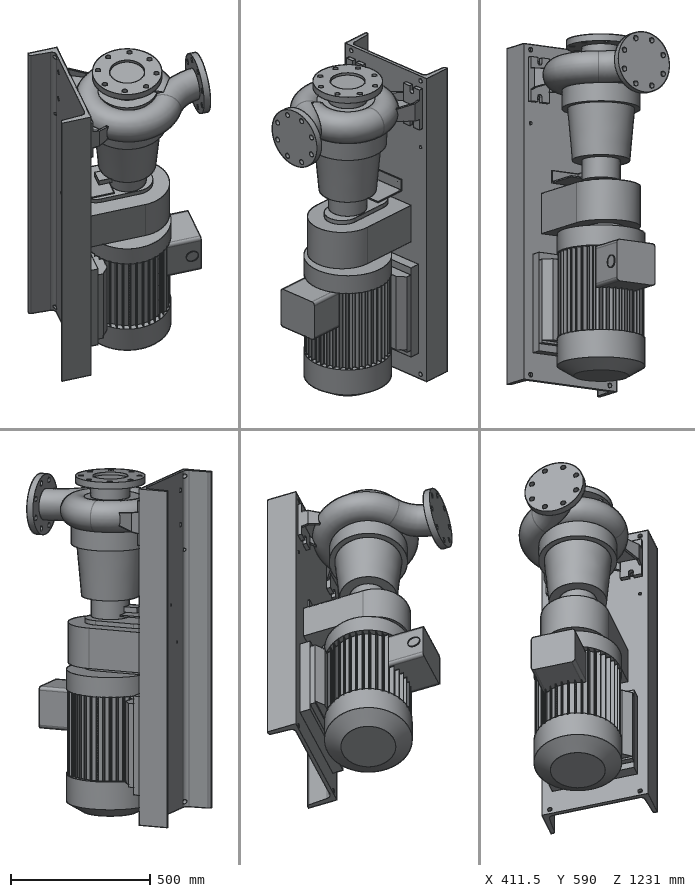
import cadquery as cq
import math

length = 1231.0
axis_height = 201.0

channel_width = 400.0
channel_depth = 110.0
web_thickness = 14.0
flange_tip_thickness = 15.0
flange_root_thickness = 21.0
root_radius = 17.0
tip_radius = 9.0
end_hole_x = 170.0
end_hole_inset = 20.0
end_hole_diameter = 16.0
extra_hole_z = 942.0
extra_hole_diameter = 11.0
small_bolt_diameter = 7.0
guard_bolt_x = 110.0

volute_z = 1102.0
tube_diameter = 115.0
inner_scroll_radius = 122.0
scroll_offset = 16.0
scroll_end_angle = 58.0
casing_disc_radius = 111.0
casing_disc_drop = 7.0
discharge_face = 480.0
discharge_flange_diameter = 220.0
discharge_flange_thickness = 25.0
discharge_bolt_circle = 180.0
suction_face_z = 1227.0
suction_flange_diameter = 250.0
suction_flange_thickness = 25.0
suction_bolt_circle = 210.0
suction_neck_diameter = 140.0
suction_bore_diameter = 125.0
suction_bore_depth = 10.0
flange_hole_diameter = 18.0
flange_hole_count = 8

cover_radius = 140.0
cover_bottom_z = 979.0
cone_top_radius = 121.0
cone_bottom_radius = 103.0
cone_bottom_z = 789.0
hub_radius = 69.0
hub_bottom_z = 714.0
shaft_radius = 16.0

foot_outer_x = 180.0
foot_inner_x = 100.0
foot_pad_thickness = 15.0
foot_pad_height = 162.0
foot_bolt_x = 140.0
foot_bolt_spacing = 125.0
foot_bolt_diameter = 16.0
foot_slot_width = 17.0
foot_shoulder_y = 40.0
foot_top_x = 142.0
foot_top_y = 111.0
foot_inner_top_x = 43.0
foot_inner_top_y = 41.0
foot_rim_thickness = 7.0
foot_rim_bottom_width = 79.0
foot_rim_top_width = 45.0
foot_web_thickness = 15.0

bracket_half_width = 80.0
bracket_sheet = 5.0
bracket_bottom_z = 732.0
bracket_leg_height = 45.0
bracket_reach = 127.0
bracket_bolt_x = 55.0
bracket_bolt_z = 761.0
lug_width = 49.0
lug_height = 20.0
lug_bottom_y = 86.0

guard_bottom_z = 542.0
guard_top_z = 689.0
guard_radius = 124.0
guard_arch_y = 230.0
guard_collar_radius = 64.0
guard_collar_low_y = 82.0
guard_top_collar = 16.0
guard_bottom_collar = 20.0

motor_top_z = 520.0
bell_radius = 158.0
upper_bell_bottom_z = 447.0
lower_bell_top_z = 137.0
cowl_edge_z = 36.0
cowl_end_radius = 98.0
core_radius = 138.0
fin_radius = 154.0
fin_thickness = 2.0
fin_count = 40
motor_foot_bottom_y = 40.0
motor_foot_edge_y = 59.0
motor_foot_top_y = 84.0
motor_foot_half_width = 160.0
motor_foot_top_half_width = 129.0
motor_foot_bottom_z = 128.0
motor_foot_top_z = 435.0
terminal_left_x = -69.0
terminal_right_x = 96.0
terminal_bottom_z = 294.0
terminal_top_y = 449.0
terminal_edge_radius = 12.0
plug_diameter = 45.0
plug_length = 4.0
plug_y = 415.0

block_bottom_z = 101.0
block_top_z = 463.0

CUT_MARGIN = 12.0


def disc(radius, bottom_z, top_z):
    """Cylinder on the shaft axis."""
    return (
        cq.Workplane("XY", origin=(0, axis_height, bottom_z))
        .circle(radius)
        .extrude(top_z - bottom_z)
    )


def block(x0, x1, y0, y1, z0, z1):
    """Box between two opposite corners."""
    return cq.Workplane("XY").box(x1 - x0, y1 - y0, z1 - z0, centered=False).translate((x0, y0, z0))


def plate_holes(points, diameter):
    """Cylinders along Y through the channel web at the given (x, z) points."""
    return (
        cq.Workplane("XZ", origin=(0, CUT_MARGIN, 0))
        .pushPoints(points)
        .circle(diameter / 2)
        .extrude(web_thickness + root_radius + 2 * CUT_MARGIN)
    )


def mirrored_points(x, heights):
    """(x, z) points on both sides of the centre plane."""
    return [(side * x, z) for side in (-1, 1) for z in heights]


foot_bolt_heights = [volute_z - foot_bolt_spacing / 2, volute_z + foot_bolt_spacing / 2]
guard_middle_z = (guard_bottom_z + guard_top_z) / 2


def make_channel():
    half = channel_width / 2
    tip_x = half - flange_tip_thickness
    root_x = half - flange_root_thickness
    profile = [
        (-half, 0),
        (half, 0),
        (half, -channel_depth),
        (tip_x, -channel_depth),
        (root_x, -web_thickness),
        (-root_x, -web_thickness),
        (-tip_x, -channel_depth),
        (-half, -channel_depth),
    ]
    body = cq.Workplane("XY").polyline(profile).close().extrude(length)
    for side in (-1, 1):
        root_edge = cq.selectors.NearestToPointSelector((side * root_x, -web_thickness, length / 2))
        tip_edge = cq.selectors.NearestToPointSelector((side * tip_x, -channel_depth, length / 2))
        body = body.edges(root_edge).fillet(root_radius)
        body = body.edges(tip_edge).fillet(tip_radius)
    end_heights = [end_hole_inset, length - end_hole_inset]
    body = body.cut(plate_holes(mirrored_points(end_hole_x, end_heights), end_hole_diameter))
    body = body.cut(plate_holes(mirrored_points(end_hole_x, [extra_hole_z]), extra_hole_diameter))
    body = body.cut(plate_holes(mirrored_points(foot_bolt_x, foot_bolt_heights), foot_bolt_diameter))
    body = body.cut(plate_holes(mirrored_points(bracket_bolt_x, [bracket_bolt_z]), small_bolt_diameter))
    return body.cut(plate_holes(mirrored_points(guard_bolt_x, [guard_middle_z]), small_bolt_diameter))


tube_radius = tube_diameter / 2
outer_scroll_radius = inner_scroll_radius + scroll_offset


def scroll_arc(center_x, radius, start_angle, end_angle):
    """Round tube bent about an axis parallel to the shaft."""
    return (
        cq.Workplane("XZ")
        .center(radius, 0)
        .circle(tube_radius)
        .revolve(end_angle - start_angle, (-radius, 0), (-radius, 1))
        .rotate((0, 0, 0), (0, 0, 1), start_angle)
        .translate((center_x, axis_height, volute_z))
    )


def discharge_bend():
    """Tube from the end of the scroll, bending back to point along +Y above the shaft axis."""
    angle = math.radians(scroll_end_angle)
    start_x = scroll_offset + outer_scroll_radius * math.cos(angle)
    bend_radius = start_x / (1 - math.cos(angle))
    bend_y = axis_height + (outer_scroll_radius + bend_radius) * math.sin(angle)
    return (
        cq.Workplane("XZ", origin=(0, bend_y, volute_z))
        .circle(tube_radius)
        .revolve(scroll_end_angle, (bend_radius, 0), (bend_radius, 1))
    )


def bolted_flange(plane, diameter, thickness, bolt_circle):
    """Flange disc with a ring of bolt holes that straddles the main axes."""
    holes = (
        plane.polarArray(bolt_circle / 2, 180 / flange_hole_count, 360, flange_hole_count)
        .circle(flange_hole_diameter / 2)
        .extrude(thickness)
    )
    return plane.circle(diameter / 2).extrude(thickness).cut(holes)


def make_volute():
    large_arc = scroll_arc(scroll_offset, outer_scroll_radius, -180, scroll_end_angle)
    small_arc = scroll_arc(0, inner_scroll_radius, scroll_end_angle, 180)
    casing = disc(casing_disc_radius, volute_z, volute_z + tube_radius - casing_disc_drop)
    return casing.union(large_arc).union(small_arc).union(discharge_bend())


def make_bearing_frame():
    cone = (
        cq.Workplane("XY", origin=(0, axis_height, cone_bottom_z))
        .circle(cone_bottom_radius)
        .workplane(offset=cover_bottom_z - cone_bottom_z)
        .circle(cone_top_radius)
        .loft()
    )
    lug_z = bracket_bottom_z + bracket_sheet
    lug = block(-lug_width / 2, lug_width / 2, lug_bottom_y, axis_height, lug_z, lug_z + lug_height)
    return (
        disc(cover_radius, cover_bottom_z, volute_z)
        .union(cone)
        .union(disc(hub_radius, hub_bottom_z, cone_bottom_z))
        .union(disc(shaft_radius, guard_top_z + guard_top_collar, hub_bottom_z))
        .union(lug)
    )


def make_pump_foot():
    """Foot on the -X side: slotted pad, thin web and rims along the web's two sloping edges."""
    outer_line = [(-foot_outer_x, 0), (-foot_outer_x, foot_shoulder_y), (-foot_top_x, foot_top_y)]
    inner_line = [(-foot_inner_top_x, foot_inner_top_y), (-foot_inner_x, 0)]
    outline = outer_line + inner_line
    leg = cq.Workplane("XY").polyline(outline).close().extrude(foot_pad_height / 2, both=True)
    taper = (
        cq.Workplane("YZ")
        .polyline([
            (-CUT_MARGIN, -foot_rim_bottom_width / 2),
            (foot_pad_thickness, -foot_rim_bottom_width / 2),
            (foot_top_y, -foot_rim_top_width / 2),
            (foot_top_y, foot_rim_top_width / 2),
            (foot_pad_thickness, foot_rim_bottom_width / 2),
            (-CUT_MARGIN, foot_rim_bottom_width / 2),
        ])
        .close()
        .extrude(-channel_width)
    )
    pocket = (
        cq.Workplane("XY", origin=(0, 0, foot_web_thickness / 2))
        .polyline(outline)
        .close()
        .offset2D(-foot_rim_thickness)
        .extrude(foot_pad_height)
    )
    leg = leg.intersect(taper).cut(pocket).cut(pocket.mirror("XY"))
    half_pad = foot_pad_height / 2
    pad = block(-foot_outer_x, -foot_inner_x, 0, foot_pad_thickness, -half_pad, half_pad)
    for end in (-1, 1):
        slot_length = 2 * (foot_pad_height - foot_bolt_spacing)
        slot_middle = end * (foot_bolt_spacing + slot_length - foot_slot_width) / 2
        slot = (
            cq.Workplane("XZ", origin=(-foot_bolt_x, 0, slot_middle))
            .slot2D(slot_length, foot_slot_width, 90)
            .extrude(-foot_pad_thickness)
        )
        pad = pad.cut(slot)
    return leg.union(pad).translate((0, 0, volute_z))


def make_pump():
    suction_flange = bolted_flange(
        cq.Workplane("XY", origin=(0, axis_height, suction_face_z - suction_flange_thickness)),
        suction_flange_diameter,
        suction_flange_thickness,
        suction_bolt_circle,
    )
    discharge_flange = bolted_flange(
        cq.Workplane("XZ", origin=(0, discharge_face, volute_z)),
        discharge_flange_diameter,
        discharge_flange_thickness,
        discharge_bolt_circle,
    )
    foot = make_pump_foot()
    neck = disc(suction_neck_diameter / 2, volute_z, suction_face_z - suction_flange_thickness)
    bore = disc(suction_bore_diameter / 2, suction_face_z - suction_bore_depth, suction_face_z)
    return (
        make_volute()
        .union(make_bearing_frame())
        .union(neck)
        .union(suction_flange)
        .union(discharge_flange)
        .union(foot)
        .union(foot.mirror("YZ"))
        .cut(bore)
    )


def make_bracket():
    top_z = bracket_bottom_z + bracket_sheet
    shelf = block(-bracket_half_width, bracket_half_width, 0, bracket_reach, bracket_bottom_z, top_z)
    leg_top = bracket_bottom_z + bracket_leg_height
    leg = block(-bracket_half_width, bracket_half_width, 0, bracket_sheet, bracket_bottom_z, leg_top)
    return shelf.union(leg)


def make_guard():
    arch = (
        cq.Workplane("XY", origin=(0, 0, guard_bottom_z))
        .moveTo(-guard_radius, 0)
        .lineTo(guard_radius, 0)
        .lineTo(guard_radius, guard_arch_y)
        .threePointArc((0, guard_arch_y + guard_radius), (-guard_radius, guard_arch_y))
        .close()
        .extrude(guard_top_z - guard_bottom_z)
    )
    collar_bottom = guard_bottom_z - guard_bottom_collar
    collar_length = guard_arch_y - guard_collar_low_y + 2 * guard_collar_radius
    collar = (
        cq.Workplane("XY", origin=(0, (guard_arch_y + guard_collar_low_y) / 2, collar_bottom))
        .slot2D(collar_length, 2 * guard_collar_radius, 90)
        .extrude(guard_top_z + guard_top_collar - collar_bottom)
    )
    return arch.union(collar)


def make_motor_foot():
    """Flat foot plate with a sloping shoulder that carries the motor core."""
    plate = block(
        -motor_foot_half_width,
        motor_foot_half_width,
        motor_foot_bottom_y,
        motor_foot_edge_y,
        motor_foot_bottom_z,
        motor_foot_top_z,
    )
    shoulder = (
        cq.Workplane("XY", origin=(0, 0, lower_bell_top_z))
        .polyline([
            (-motor_foot_half_width, motor_foot_edge_y),
            (motor_foot_half_width, motor_foot_edge_y),
            (motor_foot_top_half_width, motor_foot_top_y),
            (-motor_foot_top_half_width, motor_foot_top_y),
        ])
        .close()
        .extrude(motor_foot_top_z - lower_bell_top_z)
    )
    return plate.union(shoulder)


def make_terminal_box():
    box = (
        block(
            terminal_left_x,
            terminal_right_x,
            axis_height + core_radius / 2,
            terminal_top_y,
            terminal_bottom_z,
            upper_bell_bottom_z,
        )
        .edges("|Y")
        .fillet(terminal_edge_radius)
    )
    middle_z = (terminal_bottom_z + upper_bell_bottom_z) / 2
    plug = (
        cq.Workplane("YZ", origin=(terminal_right_x, plug_y, middle_z))
        .circle(plug_diameter / 2)
        .extrude(plug_length)
    )
    return box.union(plug)


def make_fins():
    """Cooling fins, spread evenly around the core but parallel to each other on each of its four sides."""
    pitch = 360 / fin_count
    side_count = fin_count // 4
    ends = []
    for index in range(side_count):
        angle = math.radians((index - (side_count - 1) / 2) * pitch)
        ends.append((fin_radius * math.cos(angle), fin_radius * math.sin(angle)))
    fins = cq.Workplane("XY")
    for side in range(4):
        for tip, offset in ends:
            fin = block(
                core_radius / 2,
                tip,
                offset - fin_thickness / 2,
                offset + fin_thickness / 2,
                lower_bell_top_z,
                upper_bell_bottom_z,
            )
            fins = fins.add(fin.rotate((0, 0, 0), (0, 0, 1), side * 90))
    return fins.combine().translate((0, axis_height, 0))


def make_motor():
    cowl_end = (
        cq.Workplane("XY", origin=(0, axis_height, 0))
        .circle(cowl_end_radius)
        .workplane(offset=cowl_edge_z)
        .circle(bell_radius)
        .loft()
    )
    return (
        disc(core_radius, lower_bell_top_z, upper_bell_bottom_z)
        .union(make_fins())
        .union(disc(bell_radius, upper_bell_bottom_z, motor_top_z))
        .union(disc(bell_radius, cowl_edge_z, lower_bell_top_z))
        .union(cowl_end)
        .union(make_motor_foot())
        .union(make_terminal_box())
    )


def make_motor_base():
    return block(
        -motor_foot_half_width,
        motor_foot_half_width,
        0,
        motor_foot_bottom_y,
        block_bottom_z,
        block_top_z,
    )


channel = make_channel()
pump = make_pump()
bracket = make_bracket()
guard = make_guard()
motor = make_motor()
motor_base = make_motor_base()

result = cq.Compound.makeCompound([
    channel.val(),
    pump.val(),
    bracket.val(),
    guard.val(),
    motor.val(),
    motor_base.val(),
])